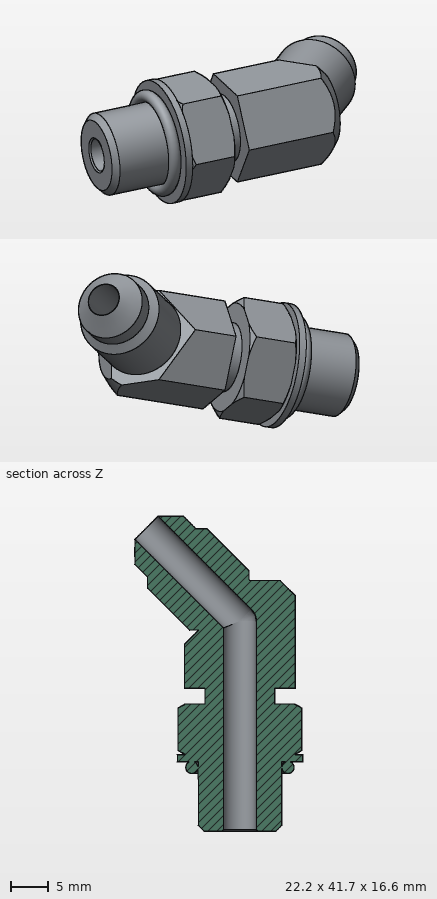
import cadquery as cq
import math

COS_30 = math.cos(math.radians(30))
ARM_ANGLE = 45.0

washer_start = 9.18
washer_end = 10.15
nut_end = 16.85
body_start = 18.9
body_end = 33.2

thread_radius = 5.55
thread_chamfer = 0.8
neck_radius = 4.65
washer_diameter = 16.65
nut_flats = 14.22
nut_chamfer_radius = 7.25
nut_chamfer_angle = 30.0
body_flats = 12.72
body_top_radius = 5.35
ring_outer_radius = 7.17
ring_section_radius = (ring_outer_radius - thread_radius) / 2
ring_overlap = 0.1
ring_position = washer_start - ring_section_radius + ring_overlap

arm_face = 3.05
arm_length = 17.48
arm_radius = 5.6
arm_base_chamfer = 0.85
shoulder_end = 12.75
nose_radius = 4.55
nose_tip_radius = 2.2
nose_cone_start = arm_length - (nose_radius - nose_tip_radius)

bore_radius = 2.15
bore_chamfer = 0.2

overall_length = 41.7
elbow_y = overall_length - (arm_length + nose_tip_radius) * math.sin(math.radians(ARM_ANGLE))


def revolve_y(profile):
    """Revolve a closed (radius, y) profile about the Y axis."""
    return cq.Workplane("XY").polyline(profile).close().revolve(360, (0, 0, 0), (0, 1, 0))


def place_on_arm(solid):
    """Turn a solid built along +Y onto the arm axis, with its origin at the elbow point."""
    return solid.rotate((0, 0, 0), (0, 0, 1), ARM_ANGLE).translate((0, elbow_y, 0))


def hexagon(flats, start, end):
    """Hexagonal prism along Y with corners on +X and -X."""
    return (
        cq.Workplane("XZ", origin=(0, start, 0))
        .polygon(6, flats / COS_30)
        .extrude(start - end)
    )


def make_stem():
    """Threaded end and neck, reaching into the hexagonal body."""
    return revolve_y([
        (0, 0),
        (thread_radius - thread_chamfer, 0),
        (thread_radius, thread_chamfer),
        (thread_radius, washer_end),
        (neck_radius, washer_end),
        (neck_radius, body_start),
        (0, body_start),
    ])


def make_washer():
    return revolve_y([
        (0, washer_start),
        (washer_diameter / 2, washer_start),
        (washer_diameter / 2, washer_end),
        (0, washer_end),
    ])


def make_ring():
    """O-ring seated against the washer around the thread."""
    center_radius = thread_radius + ring_section_radius
    return (
        cq.Workplane("XY", origin=(-center_radius, ring_position, 0))
        .circle(ring_section_radius)
        .revolve(360, (center_radius, 0, 0), (center_radius, 1, 0))
    )


def make_nut():
    """Hexagonal nut with its corners coned off at both ends."""
    corner_radius = nut_flats / 2 / COS_30
    cone_height = (corner_radius - nut_chamfer_radius) * math.tan(math.radians(nut_chamfer_angle))
    envelope = revolve_y([
        (0, washer_end),
        (nut_chamfer_radius, washer_end),
        (corner_radius, washer_end + cone_height),
        (corner_radius, nut_end - cone_height),
        (nut_chamfer_radius, nut_end),
        (0, nut_end),
    ])
    return hexagon(nut_flats, washer_end, nut_end).intersect(envelope)


def make_body():
    """Hexagonal elbow body, coned at the top and cut square to the arm."""
    corner_radius = body_flats / 2 / COS_30
    envelope = revolve_y([
        (0, body_start),
        (corner_radius, body_start),
        (corner_radius, body_end - (corner_radius - body_top_radius)),
        (body_top_radius, body_end),
        (0, body_end),
    ])
    cutter_size = 2 * body_end
    beyond_face = cq.Workplane("XY").box(cutter_size, cutter_size, cutter_size)
    beyond_face = place_on_arm(beyond_face.translate((0, arm_face + cutter_size / 2, 0)))
    return hexagon(body_flats, body_start, body_end).intersect(envelope).cut(beyond_face)


def make_arm():
    """Stepped arm ending in a 45-degree conical nose."""
    return place_on_arm(revolve_y([
        (0, 0),
        (arm_radius - arm_base_chamfer, 0),
        (arm_radius - arm_base_chamfer, arm_face),
        (arm_radius, arm_face + arm_base_chamfer),
        (arm_radius, shoulder_end - (arm_radius - nose_radius)),
        (nose_radius, shoulder_end),
        (nose_radius, nose_cone_start),
        (nose_tip_radius, arm_length),
        (0, arm_length),
    ]))


def make_bore():
    """Bores of both legs, meeting at the elbow point in a ball."""
    straight = revolve_y([
        (0, 0),
        (bore_radius + bore_chamfer, 0),
        (bore_radius, bore_chamfer),
        (bore_radius, elbow_y),
        (0, elbow_y),
    ])
    angled = place_on_arm(revolve_y([
        (0, 0),
        (bore_radius, 0),
        (bore_radius, arm_length),
        (0, arm_length),
    ]))
    corner = cq.Workplane("XY").sphere(bore_radius).translate((0, elbow_y, 0))
    return straight.union(angled).union(corner)


result = (
    make_stem()
    .union(make_washer())
    .union(make_ring())
    .union(make_nut())
    .union(make_body())
    .union(make_arm())
    .cut(make_bore())
)